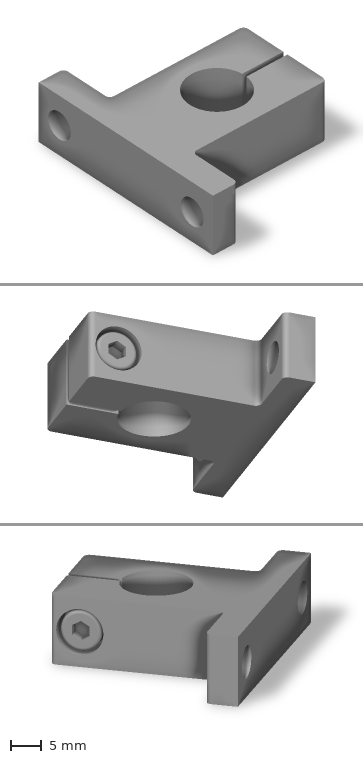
import cadquery as cq

BASE_WIDTH = 42.0
HEIGHT = 35.0
THICKNESS = 12.0
FLANGE_THICKNESS = 5.5
COLUMN_WIDTH = 20.0
EDGE_RADIUS = 1.0

BORE_DIAMETER = 12.0
BORE_Y = 20.0
SLIT_WIDTH = 1.0

MOUNT_HOLE_DIAMETER = 5.5
MOUNT_HOLE_SPACING = 32.0

SCREW_Y = 30.0
SHANK_DIAMETER = 4.0
COUNTERBORE_DIAMETER = 8.0
HEAD_RECESS = 0.65
HEAD_DIAMETER = 7.0
HEAD_HEIGHT = 4.0
COUNTERBORE_DEPTH = HEAD_RECESS + HEAD_HEIGHT
HEAD_EDGE_RADIUS = 0.6
SOCKET_ACROSS_FLATS = 3.0
SOCKET_DEPTH = 2.0

COLUMN_SIDE_X = -COLUMN_WIDTH / 2
COUNTERBORE_FLOOR_X = COLUMN_SIDE_X + COUNTERBORE_DEPTH
HEAD_TOP_X = COLUMN_SIDE_X + HEAD_RECESS


def screw_axis_plane(x):
    """Plane at the given x, centred on the screw axis and facing +X."""
    return cq.Workplane("YZ", origin=(x, SCREW_Y, 0))


def make_body():
    flange = cq.Workplane("XY").box(
        BASE_WIDTH, FLANGE_THICKNESS, THICKNESS, centered=(True, False, True)
    )
    column = cq.Workplane("XY").box(
        COLUMN_WIDTH, HEIGHT, THICKNESS, centered=(True, False, True)
    )
    return flange.union(column).edges("|Z").edges("not <Y").fillet(EDGE_RADIUS)


def cut_bore_and_slit(body):
    bore = (
        cq.Workplane("XY")
        .center(0, BORE_Y)
        .circle(BORE_DIAMETER / 2)
        .extrude(THICKNESS / 2, both=True)
    )
    slit = (
        cq.Workplane("XY", origin=(0, BORE_Y, 0))
        .box(SLIT_WIDTH, HEIGHT - BORE_Y, THICKNESS, centered=(True, False, True))
    )
    return body.cut(bore).cut(slit)


def cut_mount_holes(body):
    holes = (
        cq.Workplane("XZ")
        .pushPoints([(side * MOUNT_HOLE_SPACING / 2, 0) for side in (-1, 1)])
        .circle(MOUNT_HOLE_DIAMETER / 2)
        .extrude(-FLANGE_THICKNESS)
    )
    return body.cut(holes)


def cut_counterbore(body):
    pocket = (
        screw_axis_plane(COLUMN_SIDE_X)
        .circle(COUNTERBORE_DIAMETER / 2)
        .extrude(COUNTERBORE_DEPTH)
    )
    return body.cut(pocket)


def make_screw():
    head = (
        screw_axis_plane(HEAD_TOP_X)
        .circle(HEAD_DIAMETER / 2)
        .extrude(HEAD_HEIGHT)
        .faces("<X")
        .edges()
        .fillet(HEAD_EDGE_RADIUS)
    )
    socket = (
        screw_axis_plane(HEAD_TOP_X)
        .polygon(6, SOCKET_ACROSS_FLATS, circumscribed=True)
        .extrude(SOCKET_DEPTH)
    )
    shank = (
        screw_axis_plane(COUNTERBORE_FLOOR_X)
        .circle(SHANK_DIAMETER / 2)
        .extrude(-2 * COUNTERBORE_FLOOR_X)
    )
    return head.cut(socket).union(shank)


body = make_body()
body = cut_bore_and_slit(body)
body = cut_mount_holes(body)
body = cut_counterbore(body)
result = body.union(make_screw())